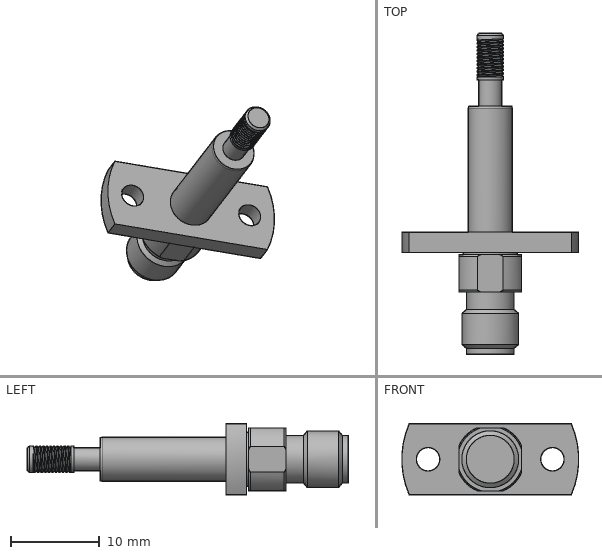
import cadquery as cq
import math


overall_length = 36.2
flange_length = 19.95
flange_height = 8.0
flange_thickness = 2.3
mounting_hole_diameter = 2.6
mounting_hole_spacing = 14.0

connector_length = 11.48
nose_diameter = 5.4
nose_length = 0.7
head_diameter = 6.4
head_cone_length = 0.45
head_back_distance = 4.65
nut_front_distance = 7.02

nut_diameter = 7.67
nut_across_flats = 7.1
nut_length = 4.25
nut_chamfer_radial = 0.15
nut_chamfer_axial = 0.2
collar_diameter = 6.1

barrel_diameter = 5.0
barrel_length = 14.2
barrel_chamfer_radial = 0.07
barrel_chamfer_axial = 0.25

neck_diameter = 2.6
stud_diameter = 3.0
threaded_end_length = 5.3
stud_chamfer = 0.25

thread_pitch = 0.4
thread_depth = 0.18
groove_angle = 80.0
thread_turns = 12
helix_start_offset = 0.15
thread_tip_margin = 0.7
thread_neck_margin = 0.33

connector_front = -connector_length
head_front = connector_front + nose_length
head_back = connector_front + head_back_distance
nut_front = connector_front + nut_front_distance
nut_back = nut_front + nut_length
flange_back = flange_thickness
barrel_end = flange_back + barrel_length
stud_tip = connector_front + overall_length
threaded_start = stud_tip - threaded_end_length


def revolve_profile(radius_and_y):
    """Turn a (radius, y) outline, closed along the axis, about the Y axis."""
    first_y = radius_and_y[0][1]
    last_y = radius_and_y[-1][1]
    outline = [(0, first_y)] + radius_and_y + [(0, last_y)]
    return cq.Workplane("XY").polyline(outline).close().revolve(360, (0, 0, 0), (0, 1, 0))


def make_flange():
    """Plate with rounded ends and two mounting holes."""
    disc = cq.Workplane("XZ").circle(flange_length / 2).extrude(-flange_thickness)
    strip = cq.Workplane("XY").box(
        flange_length, flange_thickness, flange_height, centered=(True, False, True)
    )
    holes = (
        cq.Workplane("XZ")
        .rarray(mounting_hole_spacing, 0.35, 2, 1)
        .circle(mounting_hole_diameter / 2)
        .extrude(-flange_thickness)
    )
    return disc.intersect(strip).cut(holes)


def make_connector():
    """Connector nose, coned head and the neck and collar running to the flange."""
    nose_radius = nose_diameter / 2
    head_radius = head_diameter / 2
    collar_radius = collar_diameter / 2
    return revolve_profile([
        (nose_radius, connector_front),
        (nose_radius, head_front),
        (head_radius, head_front + head_cone_length),
        (head_radius, head_back),
        (nose_radius, head_back + head_cone_length),
        (nose_radius, nut_back),
        (collar_radius, nut_back),
        (collar_radius, 0),
    ])


def make_nut():
    """Chamfered round nut with flats facing +-X and +-Z."""
    radius = nut_diameter / 2
    end_radius = radius - nut_chamfer_radial
    blank = revolve_profile([
        (end_radius, nut_front),
        (radius, nut_front + nut_chamfer_axial),
        (radius, nut_back - nut_chamfer_axial),
        (end_radius, nut_back),
    ])
    flats = (
        cq.Workplane("XY")
        .box(nut_across_flats, nut_length, nut_across_flats, centered=(True, False, True))
        .translate((0, nut_front, 0))
    )
    return blank.intersect(flats)


def make_barrel_and_stud():
    """Barrel, thin neck and plain stud end before threading."""
    barrel_radius = barrel_diameter / 2
    neck_radius = neck_diameter / 2
    stud_radius = stud_diameter / 2
    return revolve_profile([
        (barrel_radius, flange_back),
        (barrel_radius, barrel_end - barrel_chamfer_axial),
        (barrel_radius - barrel_chamfer_radial, barrel_end),
        (neck_radius, barrel_end),
        (neck_radius, threaded_start),
        (stud_radius, threaded_start),
        (stud_radius, stud_tip - stud_chamfer),
        (stud_radius - stud_chamfer, stud_tip),
    ])


def make_thread_groove():
    """Right-handed helical V-groove cutter, built along Z and laid along +Y."""
    stud_radius = stud_diameter / 2
    root_radius = stud_radius - thread_depth
    outer_radius = stud_radius + thread_depth / 4
    half_width = (outer_radius - root_radius) * math.tan(math.radians(groove_angle / 2))

    helix = cq.Wire.makeHelix(thread_pitch, thread_turns * thread_pitch, root_radius)
    section = (
        cq.Workplane("XZ")
        .moveTo(root_radius, 0)
        .lineTo(outer_radius, -half_width)
        .lineTo(outer_radius, half_width)
        .close()
    )
    groove = section.sweep(cq.Workplane(obj=helix), isFrenet=True)
    groove = groove.rotate((0, 0, 0), (1, 0, 0), -90)
    groove = groove.translate((0, threaded_start + helix_start_offset, 0))

    thread_start = threaded_start + thread_neck_margin
    thread_end = stud_tip - thread_tip_margin
    thread_zone = revolve_profile([(stud_diameter, thread_start), (stud_diameter, thread_end)])
    return groove.intersect(thread_zone)


result = (
    make_flange()
    .union(make_connector())
    .union(make_nut())
    .union(make_barrel_and_stud().cut(make_thread_groove()))
)